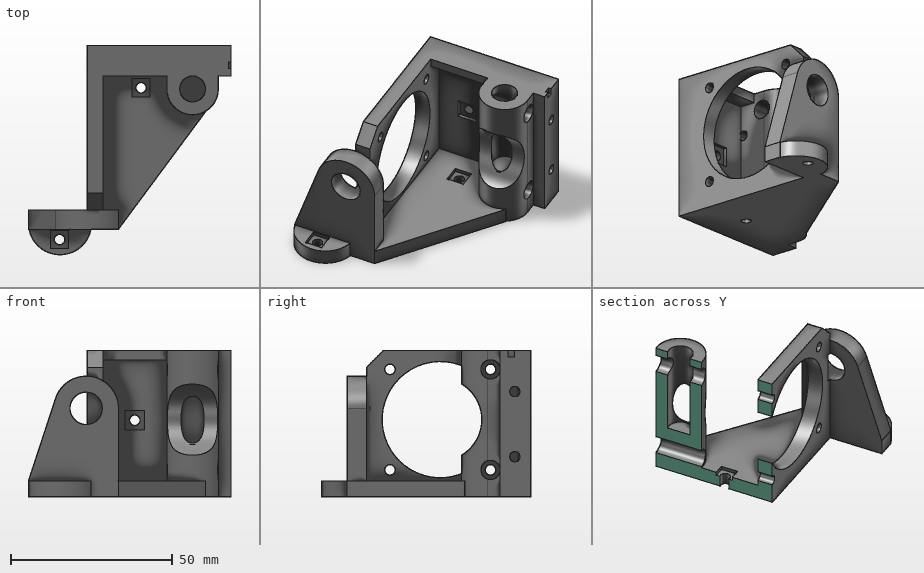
import cadquery as cq
import math

height = 45.5
plate_thickness = 5.0
plate_length = 51.05
plate_chamfer = 5.25
small_hole = 3.2

wall_length = 44.75
wall_depth = 9.55
wall_web = 4.0
lip_height = 2.9
wall_screw_y = -5.0
wall_screw_heights = (12.5, 32.7)
notch_depth = 0.85
notch_size = 2.0
notch_y = -6.2

boss_x = 32.8
boss_y = -13.5
boss_radius = 8.0
boss_bore = 8.0
boss_bore_floor = 16.25
cross_hole = 6.0
recess_end_x = boss_x - boss_radius

bore_y = -28.15
bore_z = 24.0
bore_diameter = 36.0
clearance_radius = 12.9
screw_offset = 15.6

left_x = wall_length - 62.95
ear_thickness = 6.05
ear_front_y = -plate_length - ear_thickness
ear_radius = 10.0
ear_right_x = 9.75
ear_x = ear_right_x - ear_radius
ear_z = 27.5
pivot_hole = 10.0
pivot_overcut = 1.1
foot_radius = 9.8
foot_x = left_x + foot_radius
foot_front_y = -65.0
foot_y = foot_front_y + foot_radius

floor_corner_x = 36.8
floor_corner_y = -20.6

nut_depth = 1.1
wall_nut_size = 6.2
wall_nut_x = 14.8
wall_nut_z = 23.8
floor_nut_size = 5.6
floor_nut_x = 16.8
floor_nut_y = -13.15
foot_nut_x = -8.5
foot_nut_y = -60.3


def box(x0, x1, y0, y1, z0, z1):
    """Box between two opposite corners."""
    return cq.Workplane("XY").box(x1 - x0, y1 - y0, z1 - z0, centered=False).translate((x0, y0, z0))


def cylinder_x(diameter, x0, x1, y, z):
    """Cylinder along X."""
    return cq.Workplane("YZ", origin=(x0, y, z)).circle(diameter / 2).extrude(x1 - x0)


def cylinder_y(diameter, y0, y1, x, z):
    """Cylinder along Y from y0 down to y1."""
    return cq.Workplane("XZ", origin=(x, y0, z)).circle(diameter / 2).extrude(y0 - y1)


def cylinder_z(diameter, z0, z1, x, y):
    """Cylinder along Z."""
    return cq.Workplane("XY", origin=(x, y, z0)).circle(diameter / 2).extrude(z1 - z0)


def side_plate():
    plate = box(0, plate_thickness, -plate_length, 0, 0, height)
    plate = plate.edges("|X and >Z and <Y").chamfer(plate_chamfer)
    return plate.cut(cylinder_x(bore_diameter, 0, plate_thickness, bore_y, bore_z))


def floor_plate():
    outline = [
        (0, 0),
        (floor_corner_x, 0),
        (floor_corner_x, floor_corner_y),
        (ear_right_x, ear_front_y),
        (0, ear_front_y),
    ]
    return cq.Workplane("XY").polyline(outline).close().extrude(plate_thickness)


def rear_wall():
    wall = box(0, wall_length, -wall_depth, 0, 0, height)
    recess = box(plate_thickness, recess_end_x, -wall_depth, -wall_web,
                 plate_thickness, height - lip_height)
    notch = box(wall_length - notch_depth, wall_length, notch_y - notch_size / 2,
                notch_y + notch_size / 2, height - notch_size, height)
    return wall.cut(recess).cut(notch)


def boss():
    body = cylinder_z(2 * boss_radius, 0, height, boss_x, boss_y)
    root = box(recess_end_x, boss_x + boss_radius, boss_y, -wall_depth, 0, height)
    return body.union(root)


def pivot_ear():
    run = left_x - ear_x
    drop = plate_thickness - ear_z
    direction = math.atan2(drop, run)
    tangent_angle = direction - math.acos(ear_radius / math.hypot(run, drop))
    tangent_point = (
        ear_x + ear_radius * math.cos(tangent_angle),
        ear_z + ear_radius * math.sin(tangent_angle),
    )
    return (
        cq.Workplane("XZ", origin=(0, -plate_length, 0))
        .moveTo(left_x, 0)
        .lineTo(ear_right_x, 0)
        .lineTo(ear_right_x, ear_z)
        .threePointArc((ear_x, ear_z + ear_radius), tangent_point)
        .lineTo(left_x, plate_thickness)
        .close()
        .extrude(ear_thickness)
    )


def foot():
    return (
        cq.Workplane("XY")
        .moveTo(left_x, -plate_length)
        .lineTo(left_x, foot_y)
        .threePointArc((foot_x, foot_front_y), (foot_x + foot_radius, foot_y))
        .lineTo(foot_x + foot_radius, -plate_length)
        .close()
        .extrude(plate_thickness)
    )


def floor_nut(x, y):
    """Square pocket and through hole in a plate lying on the base plane."""
    half = floor_nut_size / 2
    pocket = box(x - half, x + half, y - half, y + half,
                 plate_thickness - nut_depth, plate_thickness)
    return pocket.union(cylinder_z(small_hole, 0, plate_thickness, x, y))


def wall_nut():
    """Square pocket and through hole in the thin web of the rear wall."""
    half = wall_nut_size / 2
    pocket = box(wall_nut_x - half, wall_nut_x + half, -wall_web, nut_depth - wall_web,
                 wall_nut_z - half, wall_nut_z + half)
    return pocket.union(cylinder_y(small_hole, 0, -wall_web, wall_nut_x, wall_nut_z))


result = side_plate()
for piece in (floor_plate(), rear_wall(), boss(), pivot_ear(), foot()):
    result = result.union(piece)

result = result.cut(cylinder_x(2 * clearance_radius, plate_thickness, wall_length, bore_y, bore_z))
result = result.cut(cylinder_z(boss_bore, boss_bore_floor, height, boss_x, boss_y))

for z in (bore_z - screw_offset, bore_z + screw_offset):
    for y in (bore_y - screw_offset, bore_y + screw_offset):
        result = result.cut(cylinder_x(small_hole, 0, plate_thickness, y, z))
    result = result.cut(cylinder_x(cross_hole, recess_end_x, wall_length, bore_y + screw_offset, z))

for z in wall_screw_heights:
    result = result.cut(cylinder_x(small_hole, recess_end_x, wall_length, wall_screw_y, z))

result = result.cut(cylinder_y(pivot_hole, pivot_overcut - plate_length, ear_front_y, ear_x, ear_z))

result = result.cut(wall_nut())
result = result.cut(floor_nut(floor_nut_x, floor_nut_y))
result = result.cut(floor_nut(foot_nut_x, foot_nut_y))